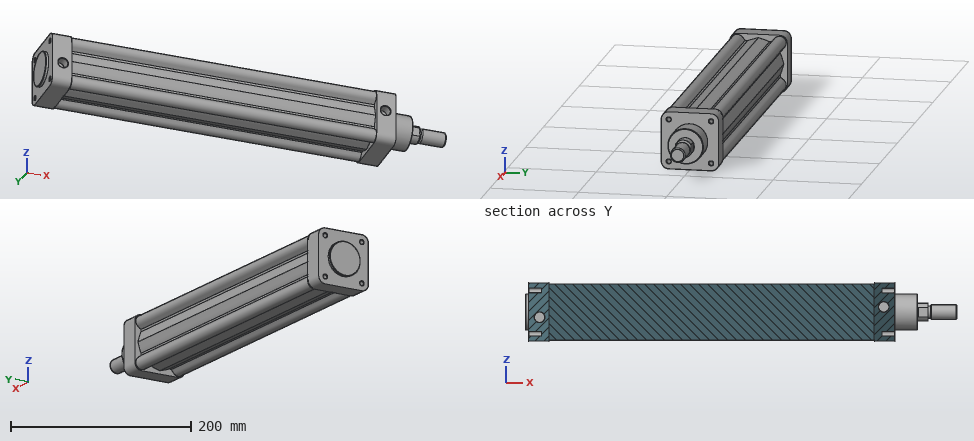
import cadquery as cq
import math


rear_cap_start = 3.5
front_cap_start = 387.0
cap_length = 23.0
cap_side = 65.0
cap_corner_radius = 8.5
spigot_diameter = 40.0
spigot_chamfer = 0.7
front_spigot_length = 25.0

screw_offset = 24.0
screw_hole_diameter = 5.0
screw_hole_chamfer = 0.57
screw_hole_depth = 14.5

port_diameter = 11.5
port_chamfer = 0.57
port_depth = 12.0
port_height = 5.7
port_inset = 10.5

barrel_diameter = 55.0
ridge_span = 57.5
barrel_arc_end = 12.5
groove_floor = 25.0
rail_diameter = 15.0
rail_wall_angle = 50

rod_diameter = 20.0
flat_width = 17.2
flat_gap = 1.5
flat_end = 447.0
thread_start = 449.5
rod_end = 479.0
thread_diameter = 17.0
thread_chamfer = 1.5

rear_cap_end = rear_cap_start + cap_length
front_cap_end = front_cap_start + cap_length
front_spigot_end = front_cap_end + front_spigot_length


def bar(start, end, diameter):
    """Round bar on the X axis."""
    return cq.Workplane("YZ", origin=(start, 0, 0)).circle(diameter / 2).extrude(end - start)


def hole(mouth, direction, diameter, depth, chamfer):
    """Cutter for a blind hole with a chamfered mouth."""
    radius = diameter / 2
    origin = cq.Vector(*mouth)
    axis = cq.Vector(*direction)
    bore = cq.Solid.makeCylinder(radius, depth, origin, axis)
    cone = cq.Solid.makeCone(radius + chamfer, radius, chamfer, origin, axis)
    return bore.fuse(cone)


def make_cap(start, outer_face, inward, spigot, port_x, port_z):
    """End cap whose screw holes run from outer_face along X in the sense of inward (+1 or -1)."""
    cap = cq.Workplane("YZ", origin=(start, 0, 0)).rect(cap_side, cap_side).extrude(cap_length)
    cap = cap.edges("|X").fillet(cap_corner_radius).union(spigot)
    for y in (-screw_offset, screw_offset):
        for z in (-screw_offset, screw_offset):
            mouth = (outer_face, y, z)
            cap = cap.cut(hole(mouth, (inward, 0, 0), screw_hole_diameter, screw_hole_depth, screw_hole_chamfer))
    port_mouth = (port_x, -cap_side / 2, port_z)
    cap = cap.cut(hole(port_mouth, (0, 1, 0), port_diameter, port_depth, port_chamfer))
    return cap.solids().val()


def make_rear_cap():
    spigot = bar(0, rear_cap_start, spigot_diameter).faces("<X").chamfer(spigot_chamfer)
    return make_cap(rear_cap_start, rear_cap_start, 1, spigot, rear_cap_end - port_inset, -port_height)


def make_front_cap():
    spigot = bar(front_cap_end, front_spigot_end, spigot_diameter).faces(">X").chamfer(spigot_chamfer)
    return make_cap(front_cap_start, front_cap_end, -1, spigot, front_cap_start + port_inset, port_height)


def turn(point, degrees):
    """Point turned about the tube axis."""
    angle = math.radians(degrees)
    y, z = point
    return (y * math.cos(angle) - z * math.sin(angle), y * math.sin(angle) + z * math.cos(angle))


def mirror(point):
    """Point mirrored in the diagonal through a corner rail."""
    return (point[1], point[0])


def make_tube():
    """Solid profile made of four equal quarters, each from one ridge over a rail to the next ridge."""
    barrel_radius = barrel_diameter / 2
    rail_radius = rail_diameter / 2
    ridge = (ridge_span / 2, 0)

    arc_start_angle = math.acos(barrel_radius / ridge[0])
    arc_end_angle = math.asin(barrel_arc_end / barrel_radius)
    arc_angles = (arc_start_angle, (arc_start_angle + arc_end_angle) / 2, arc_end_angle)
    arc_start, arc_middle, arc_end = [
        (barrel_radius * math.cos(angle), barrel_radius * math.sin(angle)) for angle in arc_angles
    ]

    wall_angle = math.radians(rail_wall_angle)
    wall_top = (
        screw_offset + rail_radius * math.cos(wall_angle),
        screw_offset - rail_radius * math.sin(wall_angle),
    )
    wall_foot = (groove_floor, wall_top[1] - (wall_top[0] - groove_floor) / math.tan(wall_angle))
    rail_tip = (screw_offset + rail_radius / math.sqrt(2),) * 2

    profile = cq.Workplane("YZ", origin=(rear_cap_end, 0, 0)).moveTo(*ridge)
    for degrees in (0, 90, 180, 270):
        profile = (
            profile.lineTo(*turn(arc_start, degrees))
            .threePointArc(turn(arc_middle, degrees), turn(arc_end, degrees))
            .lineTo(*turn(wall_foot, degrees))
            .lineTo(*turn(wall_top, degrees))
            .threePointArc(turn(rail_tip, degrees), turn(mirror(wall_top), degrees))
            .lineTo(*turn(mirror(wall_foot), degrees))
            .lineTo(*turn(mirror(arc_end), degrees))
            .threePointArc(turn(mirror(arc_middle), degrees), turn(mirror(arc_start), degrees))
            .lineTo(*turn(mirror(ridge), degrees))
        )
    return profile.close().extrude(front_cap_start - rear_cap_end).val()


def make_rod():
    shank = bar(front_spigot_end, flat_end, rod_diameter)
    flat_start = front_spigot_end + flat_gap
    flat_length = flat_end - flat_start
    waste_thickness = rod_diameter
    for side in (-1, 1):
        waste = cq.Workplane("XY").box(flat_length, waste_thickness, rod_diameter)
        waste_y = side * (flat_width + waste_thickness) / 2
        shank = shank.cut(waste.translate((flat_start + flat_length / 2, waste_y, 0)))

    undercut = bar(flat_end, thread_start, thread_diameter - 2 * thread_chamfer)
    thread = bar(thread_start, rod_end, thread_diameter).faces("<X or >X").chamfer(thread_chamfer)
    return shank.union(undercut).union(thread).solids().val()


rear_cap = make_rear_cap()
tube = make_tube()
front_cap = make_front_cap()
rod = make_rod()

result = cq.Compound.makeCompound([rear_cap, tube, front_cap, rod])